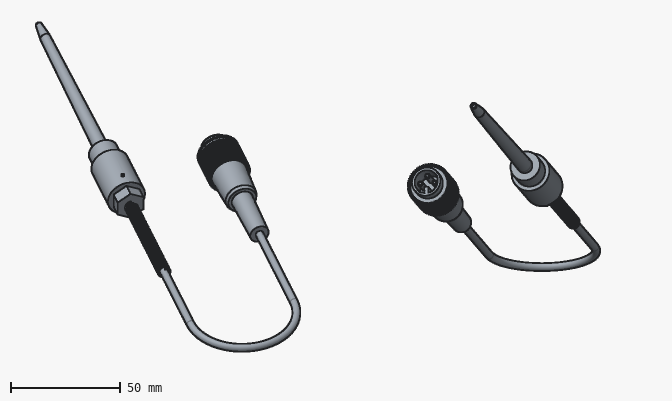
import cadquery as cq
import math

BEND_RADIUS = 25.0
CABLE_DIAMETER = 3.7
OVERALL_LENGTH = 249.6
PLUG_Y = 2 * BEND_RADIUS
BEND_X = OVERALL_LENGTH - BEND_RADIUS - CABLE_DIAMETER / 2

TIP_LENGTH = 10.0
TAPER_END_X = 91.9
COLLAR_X = 94.9
BARREL_X = 104.5
BARREL_END_X = 129.0
NUT_END_X = 135.0
SPRING_END_X = 185.7

TIP_END_DIAMETER = 3.0
TIP_BASE_DIAMETER = 5.0
TIP_HOLE_DIAMETER = 2.0
TIP_HOLE_DEPTH = 1.2
SLEEVE_DIAMETER = 7.0
COLLAR_DIAMETER = 14.0
BARREL_DIAMETER = 18.0
STUD_DIAMETER = 1.5
STUD_X = 123.5
STUD_HEIGHT = 0.5
NUT_ACROSS_FLATS = 12.5

SPRING_DIAMETER = 6.0
SPRING_WIRE_DIAMETER = 0.7
SPRING_PITCH = 2.0
SPRING_START_ANGLE = 180

PLUG_X = 106.9
RING_X = 111.5
RING_END_X = 128.3
SHOULDER_X = 145.5
NECK_X = 147.3
PLUG_END_X = 172.5

SHELL_DIAMETER = 13.5
SHELL_BORE_DIAMETER = 11.0
SHELL_BORE_DEPTH = 10.0
PIN_DIAMETER = 2.45
PIN_CIRCLE_DIAMETER = 6.7
PIN_SETBACK = 2.0
PIN_CHAMFER = 0.5
PIN_ANGLES = (0, 90, 180)
KEY_WIDTH = 1.7
KEY_HEIGHT = 3.0
GRIP_DIAMETER = 17.0
GRIP_END_DIAMETER = 15.0
NECK_SHOULDER_DIAMETER = 13.5
NECK_DIAMETER = 10.2
NECK_END_DIAMETER = 9.0

RING_DIAMETER = 20.0
RING_TOOTH_COUNT = 72
RING_TOOTH_DEPTH = 1.2
RING_BAND_OFFSET = 0.7
RING_BAND_WIDTH = 2.0
RING_BAND_DIAMETER = 19.5


def revolve_profile(stations, axis_y):
    """Revolve (x, diameter) stations about the line parallel to X at y = axis_y."""
    outline = [(stations[0][0], 0)]
    outline += [(x, diameter / 2) for x, diameter in stations]
    outline += [(stations[-1][0], 0)]
    solid = cq.Workplane("XY").polyline(outline).close().revolve(360, (0, 0), (1, 0))
    return solid.translate((0, axis_y, 0))


def rod(x_start, x_end, diameter, axis_y):
    """Cylinder along X."""
    return revolve_profile([(x_start, diameter), (x_end, diameter)], axis_y)


def make_tip():
    """Tapered probe tip with a blind hole in its end."""
    tip = revolve_profile([(0, TIP_END_DIAMETER), (TIP_LENGTH, TIP_BASE_DIAMETER)], 0)
    return tip.cut(rod(0, TIP_HOLE_DEPTH, TIP_HOLE_DIAMETER, 0))


def make_sleeve():
    """Slender probe tube that widens from the tip, then runs straight to the housing."""
    return revolve_profile(
        [(TIP_LENGTH, TIP_BASE_DIAMETER), (TAPER_END_X, SLEEVE_DIAMETER), (COLLAR_X, SLEEVE_DIAMETER)],
        0,
    )


def make_housing():
    """Stepped probe housing with a small stud on top."""
    housing = revolve_profile(
        [
            (COLLAR_X, COLLAR_DIAMETER),
            (BARREL_X, COLLAR_DIAMETER),
            (BARREL_X, BARREL_DIAMETER),
            (BARREL_END_X, BARREL_DIAMETER),
        ],
        0,
    )
    stud = (
        cq.Workplane("XY")
        .center(STUD_X, 0)
        .circle(STUD_DIAMETER / 2)
        .extrude(BARREL_DIAMETER / 2 + STUD_HEIGHT)
    )
    return housing.union(stud)


def make_nut():
    """Hexagonal nut with flats facing +Y and -Y."""
    across_corners = NUT_ACROSS_FLATS / math.cos(math.radians(30))
    return (
        cq.Workplane("YZ", origin=(BARREL_END_X, 0, 0))
        .polygon(6, across_corners)
        .extrude(NUT_END_X - BARREL_END_X)
        .rotate((0, 0, 0), (1, 0, 0), 90)
    )


def make_spring():
    """Right-hand coil around the cable, seated against the nut."""
    wire_radius = SPRING_WIRE_DIAMETER / 2
    coil_radius = SPRING_DIAMETER / 2 - wire_radius
    coil_length = SPRING_END_X - NUT_END_X - SPRING_WIRE_DIAMETER
    path = cq.Wire.makeHelix(SPRING_PITCH, coil_length, coil_radius)
    coil = cq.Workplane("XZ", origin=(coil_radius, 0, 0)).circle(wire_radius).sweep(path, isFrenet=True)
    coil = coil.rotate((0, 0, 0), (0, 1, 0), 90).rotate((0, 0, 0), (1, 0, 0), SPRING_START_ANGLE)
    return coil.translate((NUT_END_X + wire_radius, 0, 0))


def make_cable():
    """Cable from the nut, round a half circle, to the end of the plug."""
    path = (
        cq.Workplane("XY")
        .moveTo(NUT_END_X, 0)
        .lineTo(BEND_X, 0)
        .threePointArc((BEND_X + BEND_RADIUS, BEND_RADIUS), (BEND_X, PLUG_Y))
        .lineTo(PLUG_END_X, PLUG_Y)
    )
    return cq.Workplane("YZ", origin=(NUT_END_X, 0, 0)).circle(CABLE_DIAMETER / 2).sweep(path)


def make_plug():
    """Plug with a hollow shell in front and a tapered grip and neck behind."""
    plug = revolve_profile(
        [
            (PLUG_X, SHELL_DIAMETER),
            (RING_END_X, SHELL_DIAMETER),
            (RING_END_X, GRIP_DIAMETER),
            (SHOULDER_X, GRIP_END_DIAMETER),
            (NECK_X, NECK_SHOULDER_DIAMETER),
            (NECK_X, NECK_DIAMETER),
            (PLUG_END_X, NECK_END_DIAMETER),
        ],
        PLUG_Y,
    )
    bore_end_x = PLUG_X + SHELL_BORE_DEPTH
    plug = plug.cut(rod(PLUG_X, bore_end_x, SHELL_BORE_DIAMETER, PLUG_Y))

    pin_x = PLUG_X + PIN_SETBACK
    pin = revolve_profile(
        [
            (pin_x, PIN_DIAMETER - 2 * PIN_CHAMFER),
            (pin_x + PIN_CHAMFER, PIN_DIAMETER),
            (bore_end_x, PIN_DIAMETER),
        ],
        PLUG_Y + PIN_CIRCLE_DIAMETER / 2,
    )
    for angle in PIN_ANGLES:
        plug = plug.union(pin.rotate((0, PLUG_Y, 0), (1, PLUG_Y, 0), angle))

    wall_radius = (SHELL_DIAMETER + SHELL_BORE_DIAMETER) / 4
    key_top_z = KEY_HEIGHT - SHELL_BORE_DIAMETER / 2
    key = cq.Workplane("XY").box(
        SHELL_BORE_DEPTH, KEY_WIDTH, key_top_z + wall_radius, centered=(False, True, False)
    )
    return plug.union(key.translate((PLUG_X, PLUG_Y, -wall_radius)))


def make_coupling_ring():
    """Toothed ring on the plug shell, with a smooth band near its front face."""
    tip_radius = RING_DIAMETER / 2
    root_radius = tip_radius - RING_TOOTH_DEPTH
    half_tooth = math.pi / RING_TOOTH_COUNT
    outline = []
    for tooth in range(RING_TOOTH_COUNT):
        crest = 2 * half_tooth * tooth
        for angle, radius in ((crest, tip_radius), (crest + half_tooth, root_radius)):
            outline.append((radius * math.cos(angle), radius * math.sin(angle)))
    ring = (
        cq.Workplane("YZ", origin=(RING_X, 0, 0))
        .polyline(outline)
        .close()
        .circle(SHELL_DIAMETER / 2)
        .extrude(RING_END_X - RING_X)
        .translate((0, PLUG_Y, 0))
    )
    band_x = RING_X + RING_BAND_OFFSET
    band_end_x = band_x + RING_BAND_WIDTH
    shell = rod(band_x, band_end_x, SHELL_DIAMETER, PLUG_Y)
    tooth_gap = rod(band_x, band_end_x, RING_DIAMETER, PLUG_Y).cut(shell)
    band = rod(band_x, band_end_x, RING_BAND_DIAMETER, PLUG_Y).cut(shell)
    return ring.cut(tooth_gap).union(band)


bodies = [
    make_tip(),
    make_sleeve(),
    make_housing(),
    make_nut(),
    make_spring(),
    make_cable(),
    make_plug(),
    make_coupling_ring(),
]
result = cq.Compound.makeCompound([body.val() for body in bodies])